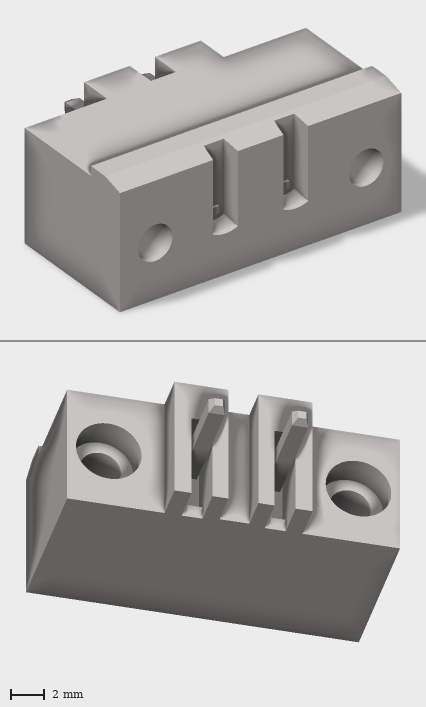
import cadquery as cq


total_length = 16.2
body_width = 20.32
total_height = 8.6

body_start = 6.4
deck_height = 7.92
ridge_start = 13.2
ridge_slope_start = 14.67
ridge_slope_drop = 0.43

pitch = 5.08
pole_positions = (-pitch / 2, pitch / 2)
screw_positions = (-1.5 * pitch, 1.5 * pitch)
axis_height = 3.9

block_start = 4.05
blocks_width = 8.43
gap_width = 1.8
gap_end = 6.2

slot_width = 1.28
slot_top = 5.45
sill_height = 0.83
slot_depth_past_sill = 0.81
slot_end = body_start + slot_depth_past_sill

pin_size = 1.0
pin_tip_size = 0.5
pin_tip_length = 0.5

recess_back = 15.0
recess_mouth_width = 1.79
recess_back_width = 1.45
recess_mouth_drop = 1.08
recess_back_drop = 0.73
recess_floor_sag = 0.2
stub_size = 0.5
stub_length = 0.2

screw_hole_diameter = 2.5
counterbore_diameter = 4.0
counterbore_depth = 2.0


def box(x_start, x_end, y_center, width, z_start, z_end):
    """Box between two X and two Z planes, centred on y_center."""
    return (
        cq.Workplane("XY")
        .box(x_end - x_start, width, z_end - z_start, centered=(False, True, False))
        .translate((x_start, y_center, z_start))
    )


def axis_plane(x, y):
    """YZ workplane whose origin lies on a pole or screw axis."""
    return cq.Workplane("YZ", origin=(x, y, axis_height))


def make_body():
    """Housing block with a latching ridge that slopes down to the mating face."""
    profile = [
        (body_start, 0),
        (total_length, 0),
        (total_length, total_height - ridge_slope_drop),
        (ridge_slope_start, total_height),
        (ridge_start, total_height),
        (ridge_start, deck_height),
        (body_start, deck_height),
    ]
    return cq.Workplane("XZ").polyline(profile).close().extrude(body_width / 2, both=True)


def make_slot(y):
    """Slot around a solder pin, open to the rear and to the base."""
    lower = box(block_start, body_start, y, slot_width, 0, slot_top)
    upper = box(block_start, slot_end, y, slot_width, sill_height, slot_top)
    return lower.union(upper)


def make_pin(y):
    """Square pin with a tapered, blunt tip, ending at the front wall of its slot."""
    shaft = axis_plane(pin_tip_length, y).rect(pin_size, pin_size).extrude(slot_end - pin_tip_length)
    tip = (
        axis_plane(0, y)
        .rect(pin_tip_size, pin_tip_size)
        .workplane(offset=pin_tip_length)
        .rect(pin_size, pin_size)
        .loft(ruled=True)
    )
    return shaft.union(tip)


def recess_outline(plane, width, floor_drop):
    """U outline: shallow arc for the floor, straight sides up past the ridge."""
    half = width / 2
    rise = total_height - axis_height
    return (
        plane.moveTo(-half, rise)
        .lineTo(-half, recess_floor_sag - floor_drop)
        .threePointArc((0, -floor_drop), (half, recess_floor_sag - floor_drop))
        .lineTo(half, rise)
        .close()
    )


def make_recess(y):
    """Recess that narrows inward from the mating face and opens through the top."""
    depth = total_length - recess_back
    back = recess_outline(axis_plane(recess_back, y), recess_back_width, recess_back_drop)
    mouth = recess_outline(back.workplane(offset=depth), recess_mouth_width, recess_mouth_drop)
    return mouth.loft(ruled=True)


def make_stub(y):
    """Square contact stub on the back wall of a recess."""
    return axis_plane(recess_back, y).rect(stub_size, stub_size).extrude(stub_length)


def make_screw_hole(y):
    """Through hole with a counterbore on the rear side."""
    through = axis_plane(body_start, y).circle(screw_hole_diameter / 2).extrude(total_length - body_start)
    counterbore = axis_plane(body_start, y).circle(counterbore_diameter / 2).extrude(counterbore_depth)
    return through.union(counterbore)


housing = make_body()
housing = housing.union(box(block_start, body_start, 0, blocks_width, 0, deck_height))
housing = housing.cut(box(block_start, gap_end, 0, gap_width, 0, deck_height))

for y in screw_positions:
    housing = housing.cut(make_screw_hole(y))

for y in pole_positions:
    housing = housing.cut(make_slot(y)).cut(make_recess(y))
    housing = housing.union(make_pin(y)).union(make_stub(y))

result = housing.solids()